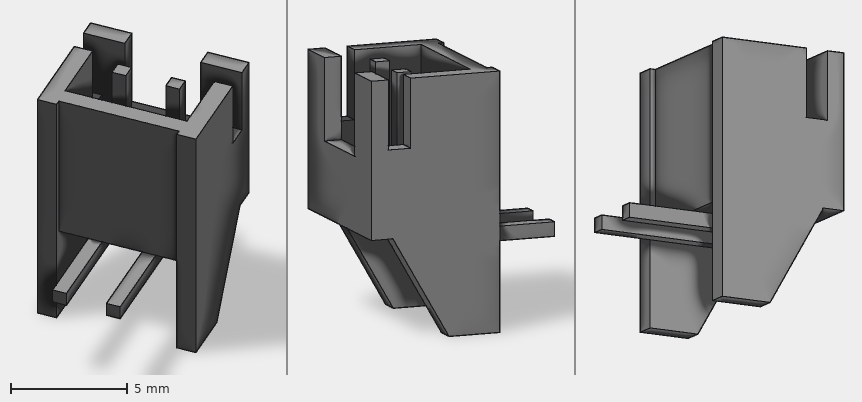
import cadquery as cq

HOUSING_WIDTH = 7.4
HOUSING_DEPTH = 5.96
HOUSING_HEIGHT = 11.5
BOX_HEIGHT = 7.0
BOX_BOTTOM = HOUSING_HEIGHT - BOX_HEIGHT

PLATE_THICKNESS = 0.9
FOOT_LENGTH = 2.35
BACK_LEDGE = 1.0

CAVITY_WIDTH = 5.68
FRONT_RECESS = 0.25
FRONT_WALL = 0.79
BACK_WALL = 0.79
FLOOR_THICKNESS = 0.9
CAVITY_FRONT = FRONT_RECESS + FRONT_WALL
CAVITY_BACK = HOUSING_DEPTH - BACK_WALL

SIDE_SLOT_WIDTH = 1.04
SIDE_SLOT_DEPTH = 3.08
BACK_GAP_WIDTH = 3.54
BACK_GAP_DEPTH = 3.67

PIN_SIZE = 0.64
PIN_PITCH = 2.51
PIN_CENTER_Y = 3.59
PIN_REACH = 3.39
PIN_TOP_DROP = 0.18
LEG_BOTTOM = 3.56


def block(x_range, y_range, z_range):
    """Axis-aligned box spanning three (low, high) ranges."""
    sizes = [high - low for low, high in (x_range, y_range, z_range)]
    corner = (x_range[0], y_range[0], z_range[0])
    return cq.Workplane("XY").box(*sizes, centered=False).translate(corner)


def centered(width):
    return (-width / 2, width / 2)


def side_plate(x_start):
    """Full-height plate whose foot tapers towards the front edge."""
    outline = [
        (0, 0),
        (FOOT_LENGTH, 0),
        (HOUSING_DEPTH - BACK_LEDGE, BOX_BOTTOM),
        (HOUSING_DEPTH, BOX_BOTTOM),
        (HOUSING_DEPTH, HOUSING_HEIGHT),
        (0, HOUSING_HEIGHT),
    ]
    plate = cq.Workplane("YZ").polyline(outline).close().extrude(PLATE_THICKNESS)
    return plate.translate((x_start, 0, 0))


def pin(x_center):
    """Upright contact joined to a solder leg that runs out to the front."""
    x_range = (x_center - PIN_SIZE / 2, x_center + PIN_SIZE / 2)
    y_front = PIN_CENTER_Y - PIN_SIZE / 2
    y_back = PIN_CENTER_Y + PIN_SIZE / 2
    upright = block(x_range, (y_front, y_back), (LEG_BOTTOM, HOUSING_HEIGHT - PIN_TOP_DROP))
    leg = block(x_range, (-PIN_REACH, y_back), (LEG_BOTTOM, LEG_BOTTOM + PIN_SIZE))
    return upright.union(leg)


housing = block(
    centered(HOUSING_WIDTH - 2 * PLATE_THICKNESS),
    (FRONT_RECESS, HOUSING_DEPTH),
    (BOX_BOTTOM, HOUSING_HEIGHT),
)
for x_start in (-HOUSING_WIDTH / 2, HOUSING_WIDTH / 2 - PLATE_THICKNESS):
    housing = housing.union(side_plate(x_start))

cavity = block(
    centered(CAVITY_WIDTH),
    (CAVITY_FRONT, CAVITY_BACK),
    (BOX_BOTTOM + FLOOR_THICKNESS, HOUSING_HEIGHT),
)
side_slots = block(
    centered(HOUSING_WIDTH),
    (CAVITY_BACK - SIDE_SLOT_WIDTH, CAVITY_BACK),
    (HOUSING_HEIGHT - SIDE_SLOT_DEPTH, HOUSING_HEIGHT),
)
back_gap = block(
    centered(BACK_GAP_WIDTH),
    (CAVITY_BACK, HOUSING_DEPTH),
    (HOUSING_HEIGHT - BACK_GAP_DEPTH, HOUSING_HEIGHT),
)
housing = housing.cut(cavity).cut(side_slots).cut(back_gap)

result = housing
for x_center in centered(PIN_PITCH):
    result = result.union(pin(x_center))